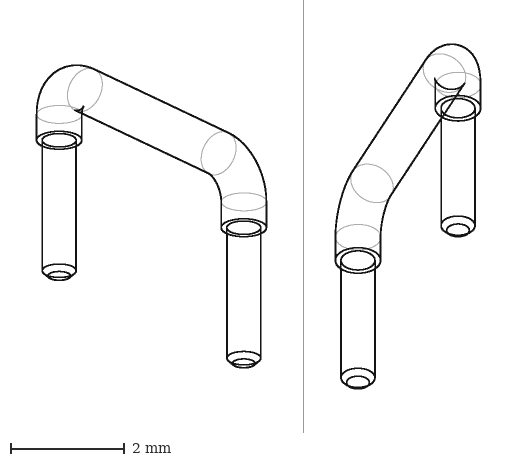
import cadquery as cq

overall_length = 5.88
overall_height = 4.2
sleeve_diameter = 0.8
pin_diameter = 0.6
bend_radius = 0.7
collar_length = 0.5
tip_chamfer = 0.1

leg_offset = (overall_length - sleeve_diameter) / 2
top_axis_z = overall_height - sleeve_diameter / 2
bend_start_z = top_axis_z - bend_radius
sleeve_end_z = bend_start_z - collar_length
bar_half_length = leg_offset - bend_radius


def make_sleeve():
    """Round bar with a quarter bend and a short straight collar at each end."""
    centre_line = (
        cq.Workplane("XZ")
        .moveTo(-leg_offset, sleeve_end_z)
        .lineTo(-leg_offset, bend_start_z)
        .tangentArcPoint((-bar_half_length, top_axis_z), relative=False)
        .lineTo(bar_half_length, top_axis_z)
        .tangentArcPoint((leg_offset, bend_start_z), relative=False)
        .lineTo(leg_offset, sleeve_end_z)
    )
    return (
        cq.Workplane("XY", origin=(-leg_offset, 0, sleeve_end_z))
        .circle(sleeve_diameter / 2)
        .sweep(centre_line)
    )


def make_pin(x):
    """Straight pin with a chamfered tip, meeting the end face of the sleeve."""
    return (
        cq.Workplane("XY", origin=(x, 0, 0))
        .circle(pin_diameter / 2)
        .extrude(sleeve_end_z)
        .faces("<Z")
        .chamfer(tip_chamfer)
    )


sleeve = make_sleeve()
pins = [make_pin(x) for x in (-leg_offset, leg_offset)]

result = cq.Compound.makeCompound([sleeve.val(), *[pin.val() for pin in pins]])